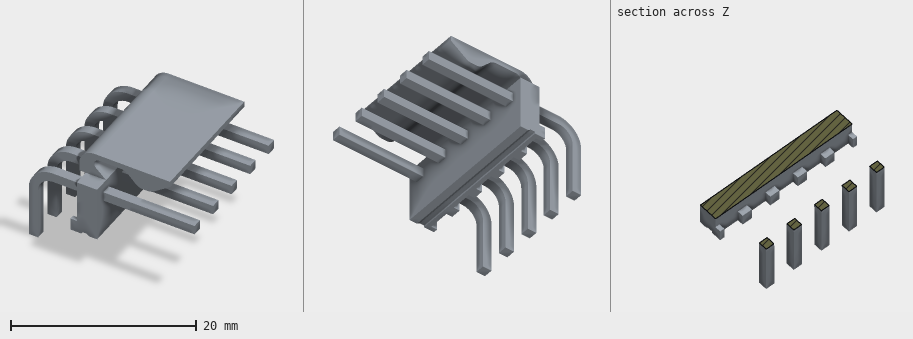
import cadquery as cq


pin_count = 5
pitch = 3.96
pin_size = 1.16
pin_length = 20.71
pin_offset_y = -0.04
pin_top = 9.66
bend_inner_radius = 1.93
bend_outer_radius = bend_inner_radius + pin_size

overall_height = 13.966
body_width = 19.66
body_height = 6.9
body_depth = 2.54
body_back = 9.29
body_front = body_back - body_depth
ramp_height = 3.07
body_top = overall_height - ramp_height
body_bottom = body_top - body_height

foot_projection = 0.79
foot_height = 1.53
foot_width = 1.31
foot_count = pin_count + 1

groove_depth = 0.25
groove_inset = 0.57
groove_start = body_front + groove_inset
groove_flat = 0.6
groove_slope = 0.36

ramp_width = (pin_count - 1) * pitch
ramp_start = body_front - foot_projection
ramp_length = 11.33
ramp_end = ramp_start + ramp_length
ramp_thickness = 0.72
ramp_outer_radius = 1.93
throat_radius = 0.66
ramp_underside = overall_height - ramp_thickness
throat_run = 2.5
latch_drop = 1.71
latch_bottom = ramp_underside - latch_drop
latch_setback = 5.69
latch_flat_length = 1.54
latch_start = ramp_start + latch_setback
latch_flat_start = latch_start + latch_drop
latch_flat_end = latch_flat_start + latch_flat_length
latch_radius = 1.27


def pitch_positions(count):
    """Y positions of equally pitched features, centred on Y = 0."""
    return [(i - (count - 1) / 2) * pitch for i in range(count)]


def extrude_centred(profile, width):
    """Extrude an XZ profile symmetrically about Y = 0."""
    return profile.extrude(width / 2, both=True)


def fillet_across(solid, x, z, radius):
    """Round the edge that runs along Y through the point (x, z)."""
    return solid.edges(cq.selectors.NearestToPointSelector((x, 0, z))).fillet(radius)


def make_pin(y):
    arm_bottom = pin_top - pin_size
    profile = (
        cq.Workplane("XZ")
        .moveTo(0, 0)
        .lineTo(pin_size, 0)
        .lineTo(pin_size, arm_bottom)
        .lineTo(pin_length, arm_bottom)
        .lineTo(pin_length, pin_top)
        .lineTo(0, pin_top)
        .close()
    )
    pin = extrude_centred(profile, pin_size)
    pin = fillet_across(pin, pin_size, arm_bottom, bend_inner_radius)
    pin = fillet_across(pin, 0, pin_top, bend_outer_radius)
    return pin.translate((0, y, 0))


def make_body():
    groove_roof = body_bottom + groove_depth
    groove_flat_end = groove_start + groove_flat
    profile = (
        cq.Workplane("XZ")
        .moveTo(body_front, body_bottom)
        .lineTo(groove_start, body_bottom)
        .lineTo(groove_start, groove_roof)
        .lineTo(groove_flat_end, groove_roof)
        .lineTo(groove_flat_end + groove_slope, body_bottom)
        .lineTo(body_back, body_bottom)
        .lineTo(body_back, body_top)
        .lineTo(body_front, body_top)
        .close()
    )
    return extrude_centred(profile, body_width)


def make_foot(y):
    """One foot, cut short where it would stick out past the body's end."""
    y_low = max(y - foot_width / 2, -body_width / 2)
    y_high = min(y + foot_width / 2, body_width / 2)
    foot = cq.Workplane("XY").box(foot_projection, y_high - y_low, foot_height, centered=False)
    return foot.translate((body_front - foot_projection, y_low, body_bottom))


def make_ramp():
    throat_corner = body_back - throat_run
    profile = (
        cq.Workplane("XZ")
        .moveTo(ramp_start, body_top)
        .lineTo(body_back, body_top)
        .lineTo(throat_corner, ramp_underside)
        .lineTo(latch_start, ramp_underside)
        .lineTo(latch_flat_start, latch_bottom)
        .lineTo(latch_flat_end, latch_bottom)
        .lineTo(ramp_end, ramp_underside)
        .lineTo(ramp_end, overall_height)
        .lineTo(ramp_start, overall_height)
        .close()
    )
    ramp = extrude_centred(profile, ramp_width)
    ramp = fillet_across(ramp, ramp_start, overall_height, ramp_outer_radius)
    ramp = fillet_across(ramp, throat_corner, ramp_underside, throat_radius)
    ramp = fillet_across(ramp, latch_start, ramp_underside, latch_radius)
    ramp = fillet_across(ramp, latch_flat_start, latch_bottom, latch_radius)
    return fillet_across(ramp, latch_flat_end, latch_bottom, latch_radius)


result = make_body().union(make_ramp())
for foot_y in pitch_positions(foot_count):
    result = result.union(make_foot(foot_y))
for pin_y in pitch_positions(pin_count):
    result = result.union(make_pin(pin_y + pin_offset_y))